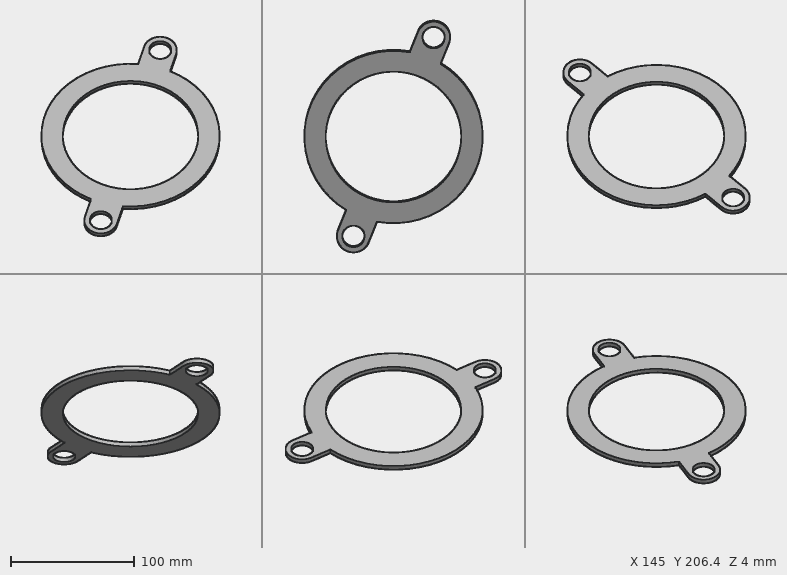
import cadquery as cq

thickness = 4.0
outer_diameter = 145.0
bore_diameter = 110.0

overall_length = 206.4
tab_width = 27.0
tab_hole_diameter = 18.0
tab_radius = tab_width / 2
tab_center_offset = overall_length / 2 - tab_radius


def make_disc():
    return cq.Workplane("XY").circle(outer_diameter / 2).extrude(thickness)


def make_tab_bar():
    """One rounded bar across the disc, whose two ends form the tabs."""
    return cq.Workplane("XY").slot2D(overall_length, tab_width, 90).extrude(thickness)


def make_bore():
    return cq.Workplane("XY").circle(bore_diameter / 2).extrude(thickness)


def make_tab_holes():
    centers = [(0, side * tab_center_offset) for side in (-1, 1)]
    return cq.Workplane("XY").pushPoints(centers).circle(tab_hole_diameter / 2).extrude(thickness)


blank = make_disc().union(make_tab_bar())
result = blank.cut(make_bore()).cut(make_tab_holes())